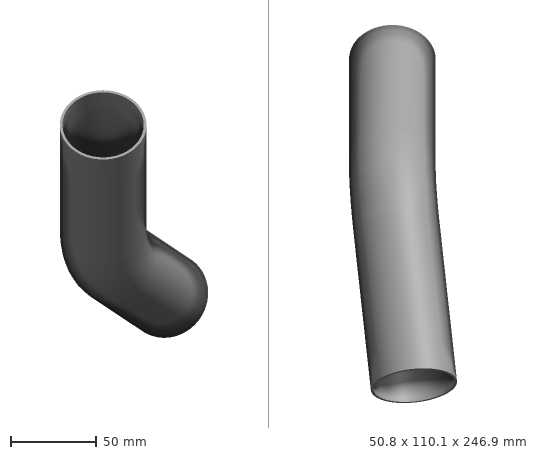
import cadquery as cq
import math

outer_diameter = 50.8
inner_diameter = 47.5
leg_length = 101.5
bend_radius = 89.5
bend_angle = 30

angle = math.radians(bend_angle)


def point_on_bend(turn):
    """Centreline point (y, z) after turning through the given angle; the bend starts at the origin."""
    return (bend_radius * (1 - math.cos(turn)), -bend_radius * math.sin(turn))


bend_end = point_on_bend(angle)
lower_end = (
    bend_end[0] + leg_length * math.sin(angle),
    bend_end[1] - leg_length * math.cos(angle),
)
centreline = (
    cq.Workplane("YZ")
    .moveTo(0, leg_length)
    .lineTo(0, 0)
    .threePointArc(point_on_bend(angle / 2), bend_end)
    .lineTo(*lower_end)
)

wall_section = (
    cq.Workplane("XY", origin=(0, 0, leg_length))
    .circle(outer_diameter / 2)
    .circle(inner_diameter / 2)
)
result = wall_section.sweep(centreline)